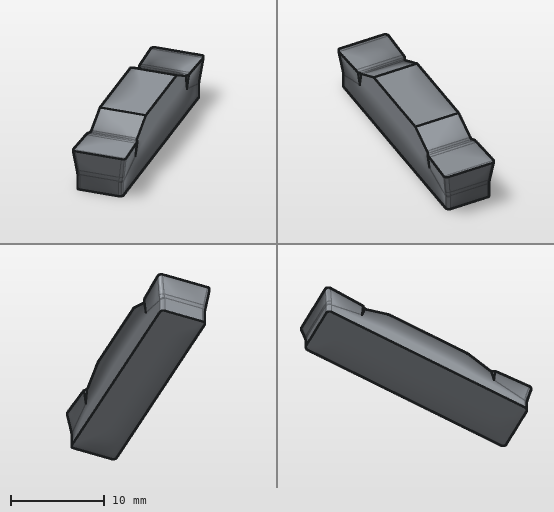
import cadquery as cq
import math

length = 25.0
head_width = 6.0
height = 6.15
body_width = 5.2
half_length = length / 2

clearance_angle = 7.3
clearance = math.tan(math.radians(clearance_angle))
plan_taper = 0.042
corner_radius = 0.4
edge_height = 4.73
bend_height = 2.08
bend_length = 0.25
body_end = half_length - clearance * (edge_height - bend_height)

crown_end = 4.8
ramp_start = 7.48
groove_end = 7.78
groove_height = 4.65
step_end = 8.08
floor_inner_end = 8.48
floor_height = 4.68
floor_outer_end = half_length - corner_radius

shoulder_outer = 8.03
shoulder_inner = 7.65
shoulder_run = shoulder_outer - shoulder_inner
wedge_bottom = 1.0


def make_body():
    """Constant-width bar with rounded end corners and a raised, ramped crown."""
    bar = (
        cq.Workplane("XY")
        .rect(body_width, 2 * body_end)
        .extrude(height)
        .edges("|Z")
        .fillet(corner_radius)
    )
    outline = (
        cq.Workplane("YZ", origin=(-head_width, 0, 0))
        .polyline([
            (-body_end, 0),
            (body_end, 0),
            (body_end, edge_height),
            (ramp_start, edge_height),
            (crown_end, height),
            (-crown_end, height),
            (-ramp_start, edge_height),
            (-body_end, edge_height),
        ])
        .close()
        .extrude(2 * head_width)
    )
    return bar.intersect(outline)


def make_end_profile():
    """Lengthwise section of the +Y head, leaning out above a vertical foot."""
    blend_top = bend_height + bend_length
    blend_top_y = body_end + clearance * bend_length
    return (
        cq.Workplane("YZ", origin=(-head_width, 0, 0))
        .moveTo(crown_end, wedge_bottom)
        .lineTo(body_end, wedge_bottom)
        .lineTo(body_end, bend_height - bend_length)
        .tangentArcPoint((blend_top_y, blend_top), relative=False)
        .lineTo(half_length, edge_height)
        .lineTo(crown_end, edge_height)
        .close()
        .extrude(2 * head_width)
    )


def make_chip_groove():
    """Shallow cutter for the top of the +Y head, from the cutting edge to the ramp."""
    land_slope = 2 * (edge_height - floor_height) / (half_length - floor_outer_end)
    ramp_slope = (height - edge_height) / (ramp_start - crown_end)
    return (
        cq.Workplane("YZ", origin=(-head_width, 0, 0))
        .moveTo(half_length, edge_height)
        .spline(
            [(floor_outer_end, floor_height)],
            tangents=[(-1, -land_slope), (-1, 0)],
            includeCurrent=True,
        )
        .lineTo(floor_inner_end, floor_height)
        .lineTo(step_end, groove_height)
        .lineTo(groove_end, groove_height)
        .spline(
            [(ramp_start, edge_height)],
            tangents=[(-1, 0), (-1, ramp_slope)],
            includeCurrent=True,
        )
        .close()
        .extrude(2 * head_width)
    )


def head_half_width(y, z):
    """Half width of the leaning, tapering head side at a given place."""
    return head_width / 2 - clearance * (floor_height - z) - plan_taper * (floor_outer_end - y)


def plan_section(z):
    """Corner points of the +Y head in plan at height z."""
    outer = head_half_width(half_length, z)
    inner = head_half_width(shoulder_outer, z)
    shoulder_slope = (head_half_width(shoulder_outer, edge_height) - body_width / 2) / shoulder_run
    root = inner - shoulder_slope * shoulder_run
    right_side = [(root, shoulder_inner), (inner, shoulder_outer), (outer, half_length)]
    left_side = [(-x, y) for x, y in reversed(right_side)]
    return right_side + left_side


def make_head():
    """Flared +Y head: the lengthwise section trimmed to the leaning plan outline."""
    flare = (
        cq.Workplane("XY", origin=(0, 0, wedge_bottom))
        .polyline(plan_section(wedge_bottom))
        .close()
        .workplane(offset=edge_height - wedge_bottom)
        .polyline(plan_section(edge_height))
        .close()
        .loft(ruled=True)
    )
    head = make_end_profile().intersect(flare)
    corner_zone = cq.selectors.BoxSelector(
        (-head_width, body_end - corner_radius, wedge_bottom),
        (head_width, half_length + corner_radius, edge_height),
    )
    side_corners = head.edges(corner_zone).edges("not(#Z or |X)")
    return side_corners.fillet(corner_radius)


head = make_head()
groove = make_chip_groove()
result = make_body().union(head).union(head.mirror("XZ"))
result = result.cut(groove).cut(groove.mirror("XZ"))